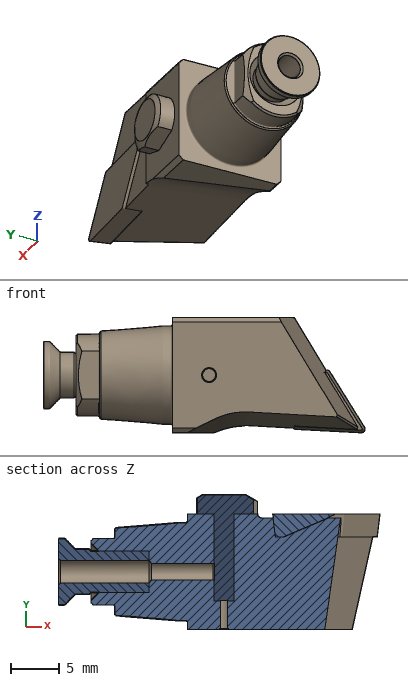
import cadquery as cq
import math

HEAD_SIZE = 12.0
HALF = HEAD_SIZE / 2
TIP_X = 20.0
HEAD_CHAMFER = 0.5
CLEARANCE = 5.0

SLANT_TOP_X = 11.0
SLANT_RUN_PER_DROP = 0.605
SLANT_SKEW = 0.141

NOSE_FLAT_TOP = (17.13, -4.05)
NOSE_FLAT_LEAN = 0.3
NOSE_FLAT_SKEW = 0.22
NOSE_FLAT_DROP = 0.14

RAMP_ANGLE = 26.0
RELIEF_ANGLE = 3.2
RELIEF_ARC_RADIUS = 7.2
RELIEF_ARC_START = (4.4, -4.55)
RELIEF_TILT = 0.123

RECESS_X = 7.3
RECESS_DEPTH = 0.4

SHANK_FRONT_X = -7.55
SHANK_FACE_RADIUS = 4.45
SHANK_EDGE_CHAMFER = 0.15
TAPER_END_X = -0.98
SHANK_RADIUS = 5.12
SHANK_FILLET = 0.18
COLLAR_FRONT_X = -10.04
COLLAR_RADIUS = 4.27
COLLAR_CHAMFER = 0.2
COLLAR_FLAT_Y = 3.47
COLLAR_FILLET = 0.15
FLAT_BEVEL_RADIUS = 8.0
FLAT_BEVEL_Y = 3.2

STUD_FRONT_X = -13.4
STUD_END_X = -4.0
KNOB_RADIUS = 3.5
KNOB_CHAMFER = 0.08
KNOB_STRAIGHT = 0.55
KNOB_EDGE_RADIUS = 0.25
KNOB_ROUNDING_ANGLE = 45.0
NECK_RADIUS = 2.39
NECK_FRONT_X = -11.65
NECK_END_X = -10.2
SPIGOT_RADIUS = 2.2
SOCKET_MOUTH_RADIUS = 3.0

STUD_BORE_RADIUS = 1.28
STUD_BORE_CHAMFER = 0.22
COOLANT_RADIUS = 1.02

NOZZLE_X = 3.8
NOZZLE_RADIUS = 2.87
NOZZLE_TOP_Y = 8.0
NOZZLE_AIM = -19.0
NOZZLE_HALF_WIDTH = 2.43
NOZZLE_END = 3.3
NOZZLE_END_HALF_WIDTH = 1.12
NOZZLE_CHAMFER_WIDTH = 0.6
NOZZLE_CHAMFER_ANGLE = 30.0
STEM_RADIUS = 1.15
STEM_END_Y = -3.0
CROSS_HOLE_RADIUS = 0.67
CROSS_HOLE_CHAMFER = 0.1

INSERT_ANGLE = 55.0
INSERT_SIDE = 7.75
INSERT_NOSE_RADIUS = 0.4
INSERT_THICKNESS = 2.38
INSERT_CLEARANCE_ANGLE = 7.0
INSERT_EDGE_ANGLE = 3.0


def turned(points):
    """Solid of revolution about the X axis from (x, radius) points."""
    return cq.Workplane("XY").polyline(points).close().revolve(360, (0, 0, 0), (1, 0, 0))


def swept(outline, rise):
    """Sweep a closed XZ outline, drawn at Y = -HALF, across the head along the vector 'rise'."""
    return cq.Workplane(cq.Solid.extrudeLinear(outline.val(), [], cq.Vector(*rise)))


def head_side():
    """XZ plane at the -Y side of the head."""
    return cq.Workplane("XZ", origin=(0, -HALF, 0))


def slant_cutter():
    far = TIP_X + CLEARANCE
    top, bottom = HALF + CLEARANCE, -HALF - CLEARANCE

    def slant_x(z):
        return SLANT_TOP_X + (HALF - z) * SLANT_RUN_PER_DROP

    outline = head_side().polyline(
        [(slant_x(top), top), (far, top), (far, bottom), (slant_x(bottom), bottom)]
    ).close()
    return swept(outline, (SLANT_SKEW * HEAD_SIZE, HEAD_SIZE, 0))


def nose_cutter():
    edge_x, edge_z = NOSE_FLAT_TOP
    far = TIP_X + CLEARANCE
    floor = -HALF - CLEARANCE
    foot_x = edge_x - NOSE_FLAT_LEAN * (edge_z - floor)
    outline = head_side().polyline([(edge_x, edge_z), (far, edge_z), (far, floor), (foot_x, floor)]).close()
    return swept(outline, (NOSE_FLAT_SKEW * HEAD_SIZE, HEAD_SIZE, -NOSE_FLAT_DROP * HEAD_SIZE))


def relief_cutter():
    ramp = math.radians(RAMP_ANGLE)
    fall = math.radians(RELIEF_ANGLE)
    start_x, start_z = RELIEF_ARC_START
    centre_x = start_x + RELIEF_ARC_RADIUS * math.sin(ramp)
    centre_z = start_z - RELIEF_ARC_RADIUS * math.cos(ramp)

    def arc_point(lean):
        return (
            centre_x + RELIEF_ARC_RADIUS * math.sin(lean),
            centre_z + RELIEF_ARC_RADIUS * math.cos(lean),
        )

    arc_end = arc_point(fall)
    far = TIP_X + CLEARANCE
    floor = -HALF - CLEARANCE
    outline = (
        head_side()
        .moveTo(start_x - (start_z - floor) / math.tan(ramp), floor)
        .lineTo(start_x, start_z)
        .threePointArc(arc_point((fall - ramp) / 2), arc_end)
        .lineTo(far, arc_end[1] - (far - arc_end[0]) * math.tan(fall))
        .lineTo(far, floor)
        .close()
    )
    return swept(outline, (0, HEAD_SIZE, -RELIEF_TILT * HEAD_SIZE))


def recess_cutter():
    far = TIP_X + CLEARANCE
    return (
        cq.Workplane("XY", origin=(0, 0, -HALF))
        .moveTo(RECESS_X, HALF)
        .radiusArc((RECESS_X + RECESS_DEPTH, HALF - RECESS_DEPTH), -RECESS_DEPTH)
        .lineTo(far, HALF - RECESS_DEPTH)
        .lineTo(far, HALF)
        .close()
        .extrude(HEAD_SIZE)
    )


def make_block():
    block = (
        cq.Workplane("YZ")
        .rect(HEAD_SIZE, HEAD_SIZE)
        .extrude(TIP_X + CLEARANCE)
        .edges("|X")
        .chamfer(HEAD_CHAMFER)
    )
    for cutter in (slant_cutter(), nose_cutter(), relief_cutter(), recess_cutter()):
        block = block.cut(cutter)
    return block


def make_shank():
    edge_radius = SHANK_FACE_RADIUS + SHANK_EDGE_CHAMFER
    return (
        cq.Workplane("XY")
        .moveTo(SHANK_FRONT_X, 0)
        .lineTo(SHANK_FRONT_X, SHANK_FACE_RADIUS)
        .lineTo(SHANK_FRONT_X + SHANK_EDGE_CHAMFER, edge_radius)
        .lineTo(TAPER_END_X, SHANK_RADIUS)
        .lineTo(-SHANK_FILLET, SHANK_RADIUS)
        .radiusArc((0, SHANK_RADIUS + SHANK_FILLET), -SHANK_FILLET)
        .lineTo(0, 0)
        .close()
        .revolve(360, (0, 0, 0), (1, 0, 0))
    )


def make_collar():
    length = SHANK_FRONT_X - COLLAR_FRONT_X
    collar = (
        cq.Workplane("YZ", origin=(COLLAR_FRONT_X, 0, 0))
        .circle(COLLAR_RADIUS)
        .extrude(length)
        .faces("<X")
        .chamfer(COLLAR_CHAMFER)
        .intersect(
            cq.Workplane("YZ", origin=(COLLAR_FRONT_X, 0, 0))
            .rect(2 * COLLAR_FLAT_Y, 2 * COLLAR_RADIUS)
            .extrude(length)
        )
    )
    for side in (1, -1):
        bevel = cq.Solid.makeCone(
            FLAT_BEVEL_RADIUS,
            FLAT_BEVEL_RADIUS + length,
            length,
            cq.Vector(COLLAR_FRONT_X, side * (FLAT_BEVEL_Y - FLAT_BEVEL_RADIUS), 0),
            cq.Vector(1, 0, 0),
        )
        collar = collar.intersect(cq.Workplane(bevel))
    return collar


def make_socket():
    """Hole for the pull stud, with a countersunk mouth, and the coolant way behind it."""
    sink = SOCKET_MOUTH_RADIUS - SPIGOT_RADIUS
    return turned(
        [
            (COLLAR_FRONT_X, 0),
            (COLLAR_FRONT_X, SOCKET_MOUTH_RADIUS),
            (COLLAR_FRONT_X + sink, SPIGOT_RADIUS),
            (STUD_END_X, SPIGOT_RADIUS),
            (STUD_END_X, STUD_BORE_RADIUS),
            (STUD_END_X + STUD_BORE_RADIUS - COOLANT_RADIUS, COOLANT_RADIUS),
            (NOZZLE_X, COOLANT_RADIUS),
            (NOZZLE_X, 0),
        ]
    )


def make_cross_hole():
    """Small chamfered hole from the -Y side, meeting the nozzle stem."""
    mouth = CROSS_HOLE_RADIUS + CROSS_HOLE_CHAMFER
    return (
        cq.Workplane("XY")
        .polyline(
            [
                (NOZZLE_X, -HALF),
                (NOZZLE_X + mouth, -HALF),
                (NOZZLE_X + CROSS_HOLE_RADIUS, -HALF + CROSS_HOLE_CHAMFER),
                (NOZZLE_X + CROSS_HOLE_RADIUS, STEM_END_Y),
                (NOZZLE_X, STEM_END_Y),
            ]
        )
        .close()
        .revolve(360, (NOZZLE_X, 0, 0), (NOZZLE_X, 1, 0))
    )


def make_stem():
    return (
        cq.Workplane("XZ", origin=(NOZZLE_X, STEM_END_Y, 0))
        .circle(STEM_RADIUS)
        .extrude(STEM_END_Y - HALF)
    )


def make_head(insert):
    collar_reach = COLLAR_RADIUS + COLLAR_FILLET / 2
    collar_root = cq.selectors.BoxSelector(
        (SHANK_FRONT_X - COLLAR_FILLET / 2, -collar_reach, -collar_reach),
        (SHANK_FRONT_X + COLLAR_FILLET / 2, collar_reach, collar_reach),
        boundingbox=True,
    )
    shank = make_shank().union(make_collar()).edges(collar_root).fillet(COLLAR_FILLET)
    head = make_block().union(shank)
    for cutter in (make_socket(), make_cross_hole(), make_stem(), insert):
        head = head.cut(cutter)
    return head


def make_pull_stud():
    """Hollow stud: rounded knob, sloping back, neck, and a spigot that fills the socket."""
    rounding = math.radians(KNOB_ROUNDING_ANGLE)
    round_end_x = KNOB_EDGE_RADIUS * math.sin(rounding)
    round_end_drop = KNOB_EDGE_RADIUS * (1 - math.cos(rounding))
    return (
        cq.Workplane("XY")
        .moveTo(STUD_FRONT_X, STUD_BORE_RADIUS + STUD_BORE_CHAMFER)
        .lineTo(STUD_FRONT_X, KNOB_RADIUS - KNOB_CHAMFER)
        .lineTo(STUD_FRONT_X + KNOB_CHAMFER, KNOB_RADIUS)
        .lineTo(STUD_FRONT_X + KNOB_STRAIGHT, KNOB_RADIUS)
        .radiusArc(
            (STUD_FRONT_X + KNOB_STRAIGHT + round_end_x, KNOB_RADIUS - round_end_drop),
            KNOB_EDGE_RADIUS,
        )
        .lineTo(NECK_FRONT_X, NECK_RADIUS)
        .lineTo(NECK_END_X, NECK_RADIUS)
        .lineTo(NECK_END_X + NECK_RADIUS - SPIGOT_RADIUS, SPIGOT_RADIUS)
        .lineTo(STUD_END_X, SPIGOT_RADIUS)
        .lineTo(STUD_END_X, STUD_BORE_RADIUS)
        .lineTo(STUD_FRONT_X + STUD_BORE_CHAMFER, STUD_BORE_RADIUS)
        .close()
        .revolve(360, (0, 0, 0), (1, 0, 0))
    )


def make_nozzle():
    """Round-backed nozzle whose narrowing flats point at the cutting tip, with its stem."""
    shoulder = math.sqrt(NOZZLE_RADIUS ** 2 - NOZZLE_HALF_WIDTH ** 2)
    body = (
        cq.Workplane("XZ", origin=(0, HALF, 0))
        .moveTo(-shoulder, NOZZLE_HALF_WIDTH)
        .lineTo(shoulder, NOZZLE_HALF_WIDTH)
        .lineTo(NOZZLE_END, NOZZLE_END_HALF_WIDTH)
        .lineTo(NOZZLE_END, -NOZZLE_END_HALF_WIDTH)
        .lineTo(shoulder, -NOZZLE_HALF_WIDTH)
        .lineTo(-shoulder, -NOZZLE_HALF_WIDTH)
        .threePointArc((-NOZZLE_RADIUS, 0), (-shoulder, NOZZLE_HALF_WIDTH))
        .close()
        .extrude(HALF - NOZZLE_TOP_Y)
    )
    height = NOZZLE_TOP_Y - HALF
    rim = NOZZLE_RADIUS - NOZZLE_CHAMFER_WIDTH
    spread = height / math.tan(math.radians(NOZZLE_CHAMFER_ANGLE))
    chamfer_cone = cq.Solid.makeCone(
        rim + spread, rim, height, cq.Vector(0, HALF, 0), cq.Vector(0, 1, 0)
    )
    body = body.intersect(cq.Workplane(chamfer_cone))
    body = body.rotate((0, 0, 0), (0, 1, 0), -NOZZLE_AIM).translate((NOZZLE_X, 0, 0))
    return body.union(make_stem())


def make_insert():
    """Rhombic insert with rounded corners whose lower corner touches X = TIP_X and Z = -HALF."""
    half_angle = math.radians(INSERT_ANGLE / 2)
    half_long = INSERT_SIDE * math.cos(half_angle)
    half_short = INSERT_SIDE * math.sin(half_angle)
    lean = 180 - INSERT_EDGE_ANGLE - INSERT_ANGLE / 2
    nose_to_centre = half_long - INSERT_NOSE_RADIUS / math.sin(half_angle)
    centre_x = TIP_X - INSERT_NOSE_RADIUS + nose_to_centre * math.cos(math.radians(lean))
    centre_z = -HALF + INSERT_NOSE_RADIUS + nose_to_centre * math.sin(math.radians(lean))
    rhombus = (
        cq.Sketch()
        .polygon([(half_long, 0), (0, half_short), (-half_long, 0), (0, -half_short), (half_long, 0)])
        .vertices()
        .fillet(INSERT_NOSE_RADIUS)
    )
    return (
        cq.Workplane("XZ")
        .placeSketch(rhombus)
        .extrude(INSERT_THICKNESS, taper=INSERT_CLEARANCE_ANGLE)
        .rotate((0, 0, 0), (0, 1, 0), -lean)
        .translate((centre_x, HALF, centre_z))
    )


insert = make_insert()
head = make_head(insert)
pull_stud = make_pull_stud()
nozzle = make_nozzle()

result = cq.Compound.makeCompound([head.val(), pull_stud.val(), nozzle.val(), insert.val()])